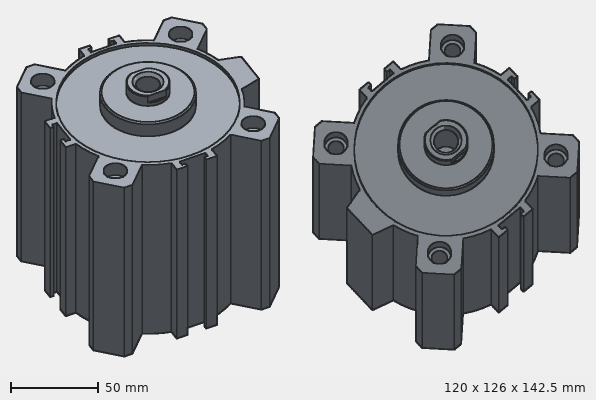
import cadquery as cq
import math

HOUSING_HEIGHT = 127.0
HOUSING_RADIUS = 110.0 / 2
HALF_WIDTH = 60.0

LUG_COUNT = 4
LUG_ANGLE = 45.0
LUG_WIDTH = 26.0
LUG_CORNER = 47.0
LUG_REACH = (HALF_WIDTH + LUG_CORNER) / math.sqrt(2)
MOUNT_RADIUS = 63.0
MOUNT_HOLE_DIAMETER = 9.0
MOUNT_BORE_DIAMETER = 13.5
MOUNT_BORE_DEPTH = 9.0

RAIL_ANGLES = (180, 270, 0)
RAIL_WIDTH = 26.0
SLOT_OPENING = 12.0
SLOT_WIDTH = 16.6
SLOT_LIP = 2.4
SLOT_FLOOR = 54.5

PORT_REACH = 66.0
PORT_FACE_WIDTH = 22.0
PORT_FLANK_ANGLE = 15.0

RECESS_DIAMETER = 105.0
RECESS_DEPTH = 2.0
COLLAR_DIAMETER = 55.0
COLLAR_HEIGHT = 8.0
COLLAR_CHAMFER = 1.0
COLLAR_TOP = HOUSING_HEIGHT + COLLAR_HEIGHT

ROD_DIAMETER = 25.0
ROD_EXTENSION = 7.5
ROD_TOP = COLLAR_TOP + ROD_EXTENSION
ROD_CHAMFER = 0.5
ROD_FLATS = 22.0
ROD_FLAT_LENGTH = 5.0
ROD_HOLE_DIAMETER = 13.84
ROD_HOLE_DEPTH = 30.0
ROD_HOLE_MOUTH = 17.8
ROD_HOLE_MOUTH_ANGLE = 90.0
ROD_END_WALL = 12.5
ROD_LENGTH = ROD_HOLE_DEPTH + ROD_END_WALL
ROD_BOTTOM = ROD_TOP - ROD_LENGTH


def disc(diameter, bottom, height):
    """Cylinder on the Z axis."""
    return cq.Workplane("XY").workplane(offset=bottom).circle(diameter / 2).extrude(height)


def turned(shape, angle):
    """Shape turned about the Z axis."""
    return shape.rotate((0, 0, 0), (0, 0, 1), angle)


def radial_bar(inner, outer, width):
    """Full-height bar along +X between two distances from the axis."""
    return (
        cq.Workplane("XY")
        .center((inner + outer) / 2, 0)
        .rect(outer - inner, width)
        .extrude(HOUSING_HEIGHT)
    )


def make_lugs():
    """Four diagonal bars, trimmed flat at the outer sides of the housing."""
    envelope = cq.Workplane("XY").rect(2 * HALF_WIDTH, 2 * HALF_WIDTH).extrude(HOUSING_HEIGHT)
    lugs = cq.Workplane("XY")
    for i in range(LUG_COUNT):
        angle = LUG_ANGLE + i * 360 / LUG_COUNT
        lugs = lugs.add(turned(radial_bar(0, LUG_REACH, LUG_WIDTH), angle))
    return lugs.combine().intersect(envelope)


def make_t_slot():
    """T-shaped channel cut for a rail on the +X side."""
    channel = radial_bar(SLOT_FLOOR, HALF_WIDTH - SLOT_LIP, SLOT_WIDTH)
    return channel.union(radial_bar(SLOT_FLOOR, HALF_WIDTH, SLOT_OPENING))


def make_port_block():
    """Block on the +Y side whose flanks spread toward the axis."""
    half_face = PORT_FACE_WIDTH / 2
    root = HOUSING_RADIUS / 2
    half_root = half_face + (PORT_REACH - root) * math.tan(math.radians(PORT_FLANK_ANGLE))
    return (
        cq.Workplane("XY")
        .moveTo(-half_root, root)
        .lineTo(half_root, root)
        .lineTo(half_face, PORT_REACH)
        .lineTo(-half_face, PORT_REACH)
        .close()
        .extrude(HOUSING_HEIGHT)
    )


def make_housing():
    housing = disc(2 * HOUSING_RADIUS, 0, HOUSING_HEIGHT)
    housing = housing.union(make_lugs()).union(make_port_block())
    for angle in RAIL_ANGLES:
        housing = housing.union(turned(radial_bar(0, HALF_WIDTH, RAIL_WIDTH), angle))
    for angle in RAIL_ANGLES:
        housing = housing.cut(turned(make_t_slot(), angle))

    housing = (
        housing.faces(">Z")
        .workplane(origin=(0, 0, HOUSING_HEIGHT))
        .polarArray(MOUNT_RADIUS, LUG_ANGLE, 360, LUG_COUNT)
        .cboreHole(MOUNT_HOLE_DIAMETER, MOUNT_BORE_DIAMETER, MOUNT_BORE_DEPTH)
    )

    recess_floor = HOUSING_HEIGHT - RECESS_DEPTH
    housing = housing.cut(disc(RECESS_DIAMETER, recess_floor, RECESS_DEPTH))
    collar = disc(COLLAR_DIAMETER, recess_floor, COLLAR_TOP - recess_floor)
    housing = housing.union(collar.faces(">Z").edges().chamfer(COLLAR_CHAMFER))

    return housing.cut(disc(ROD_DIAMETER, ROD_BOTTOM, ROD_LENGTH))


def make_rod():
    rod = disc(ROD_DIAMETER, ROD_BOTTOM, ROD_LENGTH)
    rod = rod.faces(">Z").edges().chamfer(ROD_CHAMFER)

    flat_zone = disc(2 * ROD_DIAMETER, ROD_TOP - ROD_FLAT_LENGTH, ROD_FLAT_LENGTH)
    between_flats = cq.Workplane("XY").rect(ROD_FLATS, 2 * ROD_DIAMETER).extrude(ROD_TOP)
    rod = rod.cut(flat_zone.cut(between_flats))

    rod = rod.faces(">Z").workplane(origin=(0, 0, ROD_TOP)).cskHole(
        ROD_HOLE_DIAMETER, ROD_HOLE_MOUTH, ROD_HOLE_MOUTH_ANGLE, ROD_HOLE_DEPTH
    )
    return rod


housing = make_housing()
rod = make_rod()

result = cq.Compound.makeCompound([housing.val(), rod.val()])